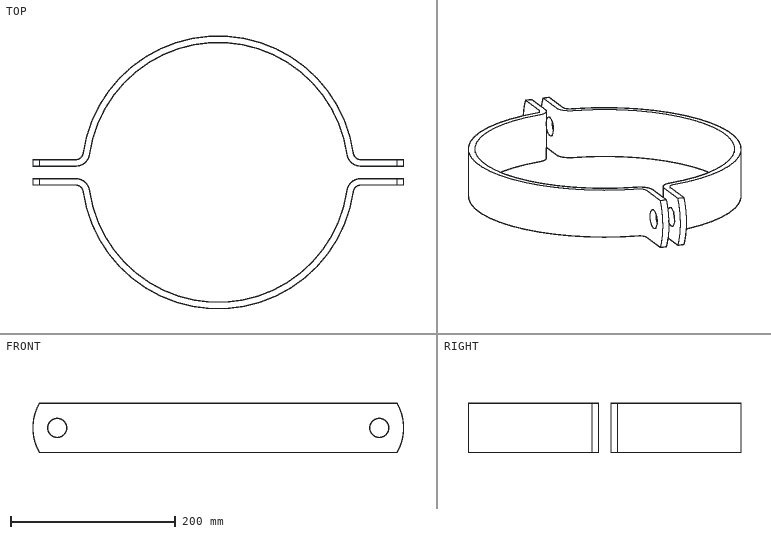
import cadquery as cq
import math

overall_length = 452.0
ring_outer_diameter = 332.5
band_width = 60.0
band_thickness = 8.0
ear_gap = 15.0
bend_inner_radius = 9.0
bolt_hole_diameter = 23.0
hole_to_ear_tip = 30.0
ear_tip_radius = band_width

ring_outer_radius = ring_outer_diameter / 2
ring_inner_radius = ring_outer_radius - band_thickness
bend_outer_radius = bend_inner_radius + band_thickness
half_length = overall_length / 2
ear_inner_y = ear_gap / 2
ear_outer_y = ear_inner_y + band_thickness
hole_x = half_length - hole_to_ear_tip

bend_y = ear_outer_y + bend_inner_radius
bend_centre_distance = ring_outer_radius + bend_inner_radius
ring_end_angle = math.asin(bend_y / bend_centre_distance)
bend_x = bend_centre_distance * math.cos(ring_end_angle)


def ring_end(radius, side):
    """Point where the ring meets the bend, on the given side of X."""
    return (side * radius * math.cos(ring_end_angle), radius * math.sin(ring_end_angle))


def bend_middle(radius, side):
    """Middle point of a bend arc, halfway between its two tangent points."""
    angle = (ring_end_angle - math.pi / 2) / 2
    return (
        side * (bend_x - radius * math.cos(angle)),
        bend_y + radius * math.sin(angle),
    )


def make_band():
    """Half ring with two bent ears, square at the tips, on the +Y side."""
    return (
        cq.Workplane("XY")
        .moveTo(-half_length, ear_outer_y)
        .lineTo(-bend_x, ear_outer_y)
        .threePointArc(bend_middle(bend_inner_radius, -1), ring_end(ring_outer_radius, -1))
        .threePointArc((0, ring_outer_radius), ring_end(ring_outer_radius, 1))
        .threePointArc(bend_middle(bend_inner_radius, 1), (bend_x, ear_outer_y))
        .lineTo(half_length, ear_outer_y)
        .lineTo(half_length, ear_inner_y)
        .lineTo(bend_x, ear_inner_y)
        .threePointArc(bend_middle(bend_outer_radius, 1), ring_end(ring_inner_radius, 1))
        .threePointArc((0, ring_inner_radius), ring_end(ring_inner_radius, -1))
        .threePointArc(bend_middle(bend_outer_radius, -1), (-bend_x, ear_inner_y))
        .lineTo(-half_length, ear_inner_y)
        .close()
        .extrude(band_width / 2, both=True)
    )


def make_face_outline():
    """Block with arced ends that rounds the ear tips."""
    half_width = band_width / 2
    tip_depth = ear_tip_radius - math.sqrt(ear_tip_radius**2 - half_width**2)
    corner_x = half_length - tip_depth
    return (
        cq.Workplane("XZ")
        .moveTo(-corner_x, half_width)
        .lineTo(corner_x, half_width)
        .threePointArc((half_length, 0), (corner_x, -half_width))
        .lineTo(-corner_x, -half_width)
        .threePointArc((-half_length, 0), (-corner_x, half_width))
        .close()
        .extrude(-ring_outer_diameter)
    )


def make_bolt_holes():
    """Cutters for the bolt hole in each ear."""
    return (
        cq.Workplane("XZ")
        .pushPoints([(-hole_x, 0), (hole_x, 0)])
        .circle(bolt_hole_diameter / 2)
        .extrude(-ear_outer_y)
    )


def make_clamp_half():
    """One complete clamp half on the +Y side."""
    return make_band().intersect(make_face_outline()).cut(make_bolt_holes())


clamp_halves = []
for turn in (0, 180):
    clamp_half = make_clamp_half().rotate((0, 0, 0), (0, 0, 1), turn)
    clamp_halves.append(clamp_half.val())

result = cq.Compound.makeCompound(clamp_halves)